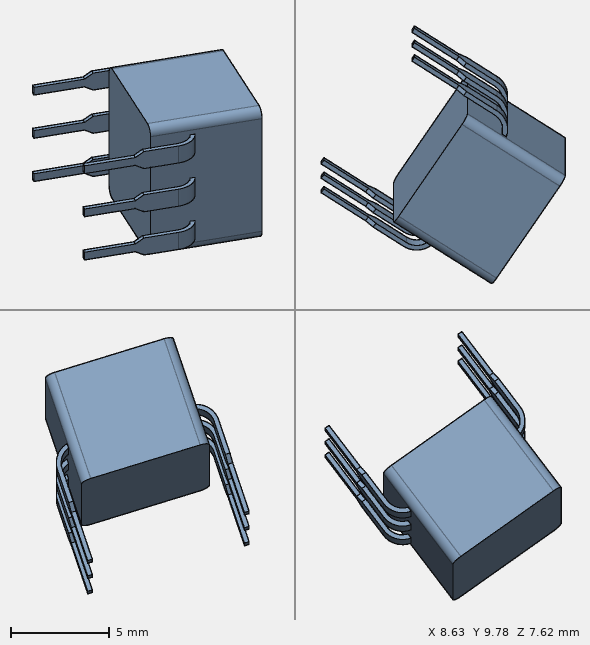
import cadquery as cq
import math

body_width = 6.85
body_depth = 5.97
body_height = 7.62
body_edge_radius = 0.5

lead_span = 8.63
lead_thickness = 0.25
lead_pitch = 2.54
leads_per_side = 3
overall_depth = 9.78
lead_tip_reach = overall_depth - body_depth
bend_outer_radius = 1.2
bend_start = 1.22
embed_length = 0.5

shoulder_width = 1.0
pin_width = 0.46
taper_start = -0.64
taper_end = -1.1

lead_outer_x = lead_span / 2
lead_inner_x = lead_outer_x - lead_thickness
bend_inner_radius = bend_outer_radius - lead_thickness
bend_center_x = lead_outer_x - bend_outer_radius
root_x = bend_center_x - embed_length


def make_body():
    block = cq.Workplane("XY").box(body_width, body_depth, body_height, centered=(True, False, True))
    return block.edges("|Y").fillet(body_edge_radius)


def bend_point(radius):
    """Point halfway round the quarter bend, at the given radius."""
    reach = radius * math.sqrt(0.5)
    return (bend_center_x + reach, bend_start + reach)


def make_strip():
    """Bent strip of full shoulder width on the +X side, centred on Z = 0."""
    return (
        cq.Workplane("XY", origin=(0, 0, -shoulder_width / 2))
        .moveTo(lead_outer_x, -lead_tip_reach)
        .lineTo(lead_outer_x, bend_start)
        .threePointArc(bend_point(bend_outer_radius), (bend_center_x, bend_start + bend_outer_radius))
        .lineTo(root_x, bend_start + bend_outer_radius)
        .lineTo(root_x, bend_start + bend_inner_radius)
        .lineTo(bend_center_x, bend_start + bend_inner_radius)
        .threePointArc(bend_point(bend_inner_radius), (lead_inner_x, bend_start))
        .lineTo(lead_inner_x, -lead_tip_reach)
        .close()
        .extrude(shoulder_width)
    )


def make_outline():
    """Side outline of a lead in the YZ plane, extruded along X past the strip."""
    half_shoulder = shoulder_width / 2
    half_pin = pin_width / 2
    root_y = bend_start + bend_outer_radius
    return (
        cq.Workplane("YZ")
        .moveTo(root_y, half_shoulder)
        .lineTo(taper_start, half_shoulder)
        .lineTo(taper_end, half_pin)
        .lineTo(-lead_tip_reach, half_pin)
        .lineTo(-lead_tip_reach, -half_pin)
        .lineTo(taper_end, -half_pin)
        .lineTo(taper_start, -half_shoulder)
        .lineTo(root_y, -half_shoulder)
        .close()
        .extrude(lead_span)
    )


def make_part():
    part = make_body()
    right_lead = make_strip().intersect(make_outline())
    left_lead = right_lead.mirror("YZ")
    for row in range(leads_per_side):
        row_z = (row - (leads_per_side - 1) / 2) * lead_pitch
        part = part.union(right_lead.translate((0, 0, row_z)))
        part = part.union(left_lead.translate((0, 0, row_z)))
    return part


result = make_part()